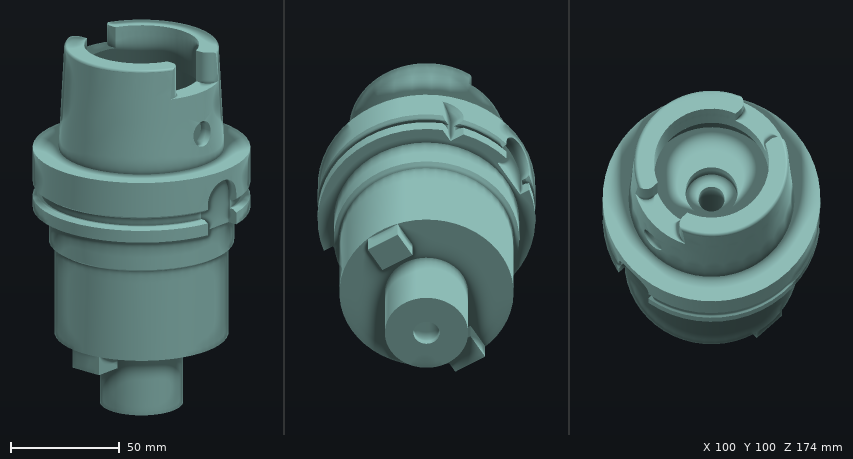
import cadquery as cq


TOP = 174.0
FLANGE_TOP = 124.0
FLANGE_BOTTOM = 95.0
COLLAR_BOTTOM = 79.0
BODY_BOTTOM = 34.0
KEY_BOTTOM = 25.0

SHANK_BASE_RADIUS = 38.1
SHANK_TOP_RADIUS = 35.5
FLANGE_RADIUS = 100.0 / 2
COLLAR_RADIUS = 42.6
BODY_RADIUS = 40.0
SPIGOT_RADIUS = 19.1

SHANK_EDGE_FILLET = 1.5
COLLAR_CHAMFER_HEIGHT = 1.5

GROOVE_RADIUS = 46.1
GROOVE_TOP = 106.1
GROOVE_BOTTOM = 102.0
GROOVE_BEVEL_HEIGHT = 1.2
GROOVE_BEVEL_DEPTH = 2.0

LIP_RADIUS = 26.5
LIP_HEIGHT = 20.0
UNDERCUT_RADIUS = 31.5
CAVITY_DEPTH = 41.0
COUNTERBORE_RADIUS = 12.0
COUNTERBORE_DEPTH = 10.1
THROUGH_HOLE_RADIUS = 12.0 / 2

DRIVE_SLOT_WIDTH = 20.0
DRIVE_SLOT_DEPTH_LEFT = 10.1
DRIVE_SLOT_DEPTH_RIGHT = 15.0
DRIVE_SLOT_FILLET = 4.9
RIM_END = 32.2

CROSS_HOLE_RADIUS = THROUGH_HOLE_RADIUS
CROSS_HOLE_LEVEL = TOP - 35.0

FLANGE_SLOT_WIDTH = 20.0
FLANGE_SLOT_ROOF = 4.7
FLANGE_SLOT_FLOOR = 44.2
NOTCH_SIDE = 31.5
NOTCH_FLOOR = 31.8

KEY_WIDTH = 16.0
KEY_INNER = 26.0
KEY_OUTER = 39.0


def cylinder(radius, bottom, top):
    return cq.Workplane("XY").workplane(offset=bottom).circle(radius).extrude(top - bottom)


def outer_body():
    bevel_radius = FLANGE_RADIUS - GROOVE_BEVEL_DEPTH
    profile = [
        (0, 0),
        (SPIGOT_RADIUS, 0),
        (SPIGOT_RADIUS, BODY_BOTTOM),
        (BODY_RADIUS, BODY_BOTTOM),
        (BODY_RADIUS, COLLAR_BOTTOM - COLLAR_CHAMFER_HEIGHT),
        (COLLAR_RADIUS, COLLAR_BOTTOM),
        (COLLAR_RADIUS, FLANGE_BOTTOM),
        (FLANGE_RADIUS, FLANGE_BOTTOM),
        (FLANGE_RADIUS, GROOVE_BOTTOM - GROOVE_BEVEL_HEIGHT),
        (bevel_radius, GROOVE_BOTTOM),
        (GROOVE_RADIUS, GROOVE_BOTTOM),
        (GROOVE_RADIUS, GROOVE_TOP),
        (bevel_radius, GROOVE_TOP),
        (FLANGE_RADIUS, GROOVE_TOP + GROOVE_BEVEL_HEIGHT),
        (FLANGE_RADIUS, FLANGE_TOP),
        (SHANK_BASE_RADIUS, FLANGE_TOP),
        (SHANK_TOP_RADIUS, TOP),
        (0, TOP),
    ]
    body = cq.Workplane("XZ").polyline(profile).close().revolve(360, (0, 0), (0, 1))
    return body.faces(">Z").edges().fillet(SHANK_EDGE_FILLET)


def cavity():
    floor = TOP - CAVITY_DEPTH
    lip_bore = cylinder(LIP_RADIUS, TOP - LIP_HEIGHT, TOP)
    undercut = cylinder(UNDERCUT_RADIUS, floor, TOP - LIP_HEIGHT)
    counterbore = cylinder(COUNTERBORE_RADIUS, floor - COUNTERBORE_DEPTH, floor)
    through_hole = cylinder(THROUGH_HOLE_RADIUS, 0, floor)
    return lip_bore.union(undercut).union(counterbore).union(through_hole)


def drive_slot(side, depth):
    """Slot through the rim on one X side; its walls round off into the flat ends of the rim."""
    half = DRIVE_SLOT_WIDTH / 2
    rounding_start = RIM_END - DRIVE_SLOT_FILLET
    flared_half = half + DRIVE_SLOT_FILLET
    outside = FLANGE_RADIUS
    return (
        cq.Workplane("XY")
        .workplane(offset=TOP - depth)
        .moveTo(0, -half)
        .lineTo(side * rounding_start, -half)
        .radiusArc((side * RIM_END, -flared_half), side * DRIVE_SLOT_FILLET)
        .lineTo(side * RIM_END, -outside)
        .lineTo(side * outside, -outside)
        .lineTo(side * outside, outside)
        .lineTo(side * RIM_END, outside)
        .lineTo(side * RIM_END, flared_half)
        .radiusArc((side * rounding_start, half), side * DRIVE_SLOT_FILLET)
        .lineTo(0, half)
        .close()
        .extrude(depth)
    )


def cross_hole():
    return (
        cq.Workplane("YZ")
        .center(0, CROSS_HOLE_LEVEL)
        .circle(CROSS_HOLE_RADIUS)
        .extrude(SHANK_BASE_RADIUS, both=True)
    )


def flange_slot(side, floor, centre_y):
    """Round-topped slot, open below, cut along X from outside the flange to its floor."""
    radius = FLANGE_SLOT_WIDTH / 2
    crown = FLANGE_TOP - FLANGE_SLOT_ROOF
    spring = crown - radius
    return (
        cq.Workplane("YZ", origin=(side * floor, centre_y, 0))
        .moveTo(-radius, FLANGE_BOTTOM)
        .lineTo(-radius, spring)
        .threePointArc((0, crown), (radius, spring))
        .lineTo(radius, FLANGE_BOTTOM)
        .close()
        .extrude(side * FLANGE_RADIUS)
    )


def driving_key(side):
    length = KEY_OUTER - KEY_INNER
    return (
        cq.Workplane("XY")
        .workplane(offset=KEY_BOTTOM)
        .center(0, side * (KEY_INNER + KEY_OUTER) / 2)
        .rect(KEY_WIDTH, length)
        .extrude(BODY_BOTTOM - KEY_BOTTOM)
    )


result = outer_body()
for side in (-1, 1):
    result = result.union(driving_key(side))
result = result.cut(cavity()).cut(cross_hole())
result = result.cut(drive_slot(-1, DRIVE_SLOT_DEPTH_LEFT)).cut(drive_slot(1, DRIVE_SLOT_DEPTH_RIGHT))
for side in (-1, 1):
    result = result.cut(flange_slot(side, FLANGE_SLOT_FLOOR, 0))

result = result.cut(flange_slot(-1, NOTCH_FLOOR, NOTCH_SIDE + FLANGE_SLOT_WIDTH / 2))